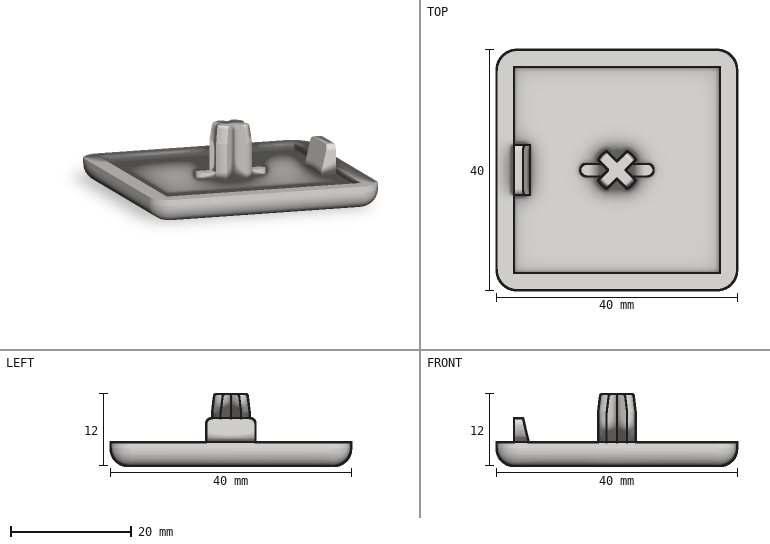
import cadquery as cq

plate_side = 40.0
plate_height = 4.0
plate_corner_radius = 3.45
rim_straight_height = 1.0
bottom_edge_radius = plate_height - rim_straight_height

pocket_side = 34.2
pocket_depth = 1.0
floor_z = plate_height - pocket_depth

post_top_z = 12.0
post_arm_width = 2.05
post_arm_angle = 45
post_radius = 3.55
post_tip_radius = 3.1
post_taper_start_z = 9.0
post_tip_fillet = 0.5

bar_length = 12.2
bar_width = 2.1
bar_height = 1.0

tab_length = 8.25
tab_top_z = 8.0
tab_foot_thickness = 2.7
tab_tip_thickness = 1.5
tab_corner_radius = 1.0
tab_back_x = -pocket_side / 2


def make_plate():
    plate = (
        cq.Workplane("XY")
        .rect(plate_side, plate_side)
        .extrude(plate_height)
        .edges("|Z")
        .fillet(plate_corner_radius)
        .faces("<Z")
        .edges()
        .fillet(bottom_edge_radius)
    )
    pocket = (
        cq.Workplane("XY")
        .workplane(offset=floor_z)
        .rect(pocket_side, pocket_side)
        .extrude(pocket_depth)
    )
    return plate.cut(pocket)


def make_post():
    """Cross of two crossed walls, trimmed to a round, tapered envelope."""
    start_z = floor_z / 2
    envelope = (
        cq.Workplane("XZ")
        .moveTo(0, start_z)
        .lineTo(post_radius, start_z)
        .lineTo(post_radius, post_taper_start_z)
        .lineTo(post_tip_radius, post_top_z)
        .lineTo(0, post_top_z)
        .close()
        .revolve(360, (0, 0), (0, 1))
        .faces(">Z")
        .edges()
        .fillet(post_tip_fillet)
    )
    wall = (
        cq.Workplane("XY")
        .workplane(offset=start_z)
        .rect(2 * post_radius, post_arm_width)
        .extrude(post_top_z - start_z)
        .rotate((0, 0, 0), (0, 0, 1), post_arm_angle)
    )
    crossing_wall = wall.rotate((0, 0, 0), (0, 0, 1), 90)
    cross = wall.union(crossing_wall)
    return cross.intersect(envelope)


def make_bar():
    return (
        cq.Workplane("XY")
        .workplane(offset=floor_z)
        .slot2D(bar_length, bar_width)
        .extrude(bar_height)
    )


def make_tab():
    """Upright back face, sloping front face and two rounded upper corners."""
    return (
        cq.Workplane("XZ")
        .moveTo(tab_back_x, floor_z)
        .lineTo(tab_back_x + tab_foot_thickness, floor_z)
        .lineTo(tab_back_x + tab_tip_thickness, tab_top_z)
        .lineTo(tab_back_x, tab_top_z)
        .close()
        .extrude(tab_length / 2, both=True)
        .faces(">Z")
        .edges("|X")
        .fillet(tab_corner_radius)
    )


result = make_plate().union(make_post()).union(make_bar()).union(make_tab())